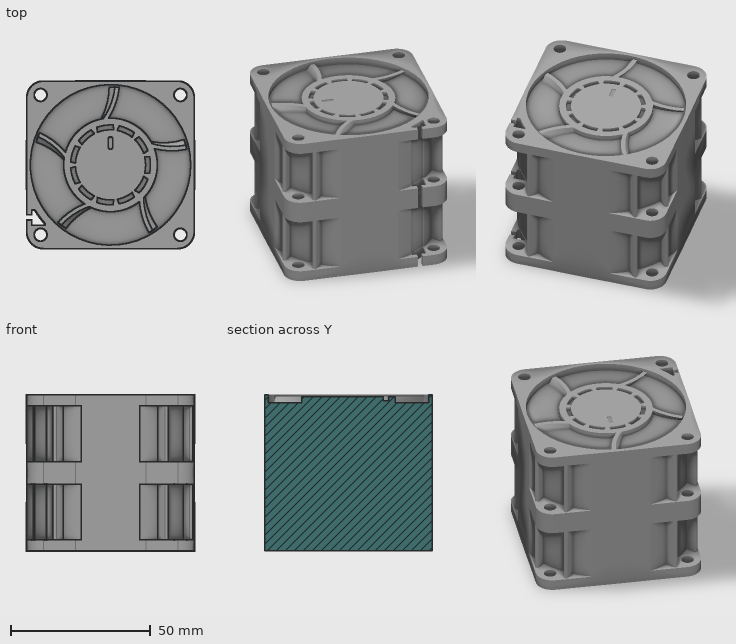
import cadquery as cq
import math

frame_size = 60.0
bulged_size = 60.18
crown_half_width = 12.6
corner_radius = 6.0
flange_thickness = 4.0
window_height = 20.0
fan_height = window_height + 2 * flange_thickness
fan_count = 2
height = fan_count * fan_height
housing_radius = 31.8

hole_diameter = 4.5
hole_offset = 25.0

rib_thickness = 1.56
rib_offset = 6.26
rib_reach = 35.13
rib_tip_fillet = 0.76
rib_root = 30.0

notch_x = -28.1
notch_x_end = -23.5
notch_radius = 31.6
notch_y_min = -21.5
notch_y_max = -16.2
slot_y_min = -19.7
slot_y_max = -17.9

relief_radius = 31.4
relief_y_min = -22.0
relief_y_max = -15.9
relief_x_max = -22.8
bottom_groove_height = 0.5
middle_groove_height = 2.4

recess_radius = 28.7
recess_depth = 2.8
hub_radius = 16.75
hub_height = 2.2
floor_z = height - recess_depth
hub_top_z = floor_z + hub_height

strut_count = 5
strut_width = 1.55
strut_arc_radius = 25.0
strut_arc_center = (-22.5, 30.4)
strut_outer_angle = -6.0
strut_inner_angle = -36.0
strut_twist = -5.6
strut_twist_pivot = (1.5, 6.5)

vent_count = 11
vent_outer_radius = 14.3
vent_inner_radius = 12.55
vent_length = 5.9
vent_depth = 1.6
mark_width = 1.5
mark_length = 4.5
mark_center_y = 7.8
mark_depth = 0.3


def block(x_min, x_max, y_min, y_max, z_min, z_max):
    size = (x_max - x_min, y_max - y_min, z_max - z_min)
    return cq.Workplane("XY").box(*size, centered=False).translate((x_min, y_min, z_min))


def cylinder(radius, z_min, z_max):
    return cq.Workplane("XY").workplane(offset=z_min).circle(radius).extrude(z_max - z_min)


def ring(outer_radius, inner_radius, z_min, z_max):
    return cylinder(outer_radius, z_min, z_max).cut(cylinder(inner_radius, z_min, z_max))


def turned(x, y, angle):
    a = math.radians(angle)
    return (x * math.cos(a) - y * math.sin(a), x * math.sin(a) + y * math.cos(a))


def frame_prism():
    """Rounded square with a slight crown in the middle of each side."""
    half = frame_size / 2
    straight = half - corner_radius
    corner_mid = straight + corner_radius * math.sqrt(0.5)
    outline = cq.Workplane("XY").moveTo(half, -straight)
    for angle in (0, 90, 180, 270):
        outline = (
            outline.lineTo(*turned(half, -crown_half_width, angle))
            .threePointArc(turned(bulged_size / 2, 0, angle), turned(half, crown_half_width, angle))
            .lineTo(*turned(half, straight, angle))
            .threePointArc(turned(corner_mid, corner_mid, angle), turned(straight, half, angle))
        )
    return outline.close().extrude(height)


def window_bottoms():
    return [i * fan_height + flange_thickness for i in range(fan_count)]


def cut_windows(body):
    """Between the flanges only the round housing remains at the corners."""
    for z in window_bottoms():
        body = body.cut(ring(frame_size, housing_radius, z, z + window_height))
    return body


def corner_rib(angle, side, z):
    """Rib with a rounded tip beside the corner diagonal that lies at the given angle."""
    length = rib_reach - rib_root
    rib = (
        cq.Workplane("XY")
        .rect(length, rib_thickness)
        .extrude(window_height)
        .edges("|Z and >X")
        .fillet(rib_tip_fillet)
        .translate((rib_root + length / 2, side * rib_offset, z))
    )
    return rib.rotate((0, 0, 0), (0, 0, 1), angle)


def add_ribs(body):
    """Two ribs per corner; the cable corner leaves out the one beside the slot."""
    cable_corner = 225
    for z in window_bottoms():
        for angle in (45, 135, cable_corner, 315):
            for side in (-1, 1):
                if angle == cable_corner and side == -1:
                    continue
                body = body.union(corner_rib(angle, side, z))
    return body


def cut_mounting_holes(body):
    corners = [(x, y) for x in (-hole_offset, hole_offset) for y in (-hole_offset, hole_offset)]
    holes = cq.Workplane("XY").pushPoints(corners).circle(hole_diameter / 2).extrude(height)
    return body.cut(holes)


def cut_cable_notch(body):
    """Notch with a round inner wall, opened to the -X side by a narrow slot."""
    area = block(notch_x, notch_x_end, notch_y_min, notch_y_max, 0, height)
    slot = block(-bulged_size / 2, notch_x, slot_y_min, slot_y_max, 0, height)
    body = body.cut(area.cut(cylinder(notch_radius, 0, height))).cut(slot)
    middle = height / 2
    grooves = [
        (0, bottom_groove_height),
        (middle - middle_groove_height / 2, middle + middle_groove_height / 2),
    ]
    for z_min, z_max in grooves:
        body = body.cut(ring(notch_radius, relief_radius, z_min, z_max).intersect(area))
    return body


def cut_relief(body):
    """Relief in the exposed housing wall between the flanges of each fan."""
    for z in window_bottoms():
        top = z + window_height
        area = block(notch_x, relief_x_max, relief_y_min, relief_y_max, z, top)
        body = body.cut(ring(housing_radius, relief_radius, z, top).intersect(area))
    return body


def strut_point(radius, angle):
    """Point on the strut outline, relative to the twist pivot."""
    a = math.radians(angle)
    return (
        strut_arc_center[0] - strut_twist_pivot[0] + radius * math.cos(a),
        strut_arc_center[1] - strut_twist_pivot[1] + radius * math.sin(a),
    )


def strut():
    """Curved strut that leans over by twisting about its pivot as it rises."""
    pivot_x, pivot_y = strut_twist_pivot
    left = strut_arc_radius - strut_width / 2
    right = strut_arc_radius + strut_width / 2
    middle_angle = (strut_outer_angle + strut_inner_angle) / 2
    return (
        cq.Workplane("XY")
        .moveTo(*strut_point(left, strut_outer_angle))
        .threePointArc(strut_point(left, middle_angle), strut_point(left, strut_inner_angle))
        .lineTo(*strut_point(right, strut_inner_angle))
        .threePointArc(strut_point(right, middle_angle), strut_point(right, strut_outer_angle))
        .close()
        .twistExtrude(hub_height, strut_twist)
        .rotate((0, 0, 0), (0, 0, 1), -strut_twist)
        .translate((pivot_x, pivot_y, floor_z))
    )


def add_fan_face(body):
    """Round recess in the top with the hub and its struts standing on the floor."""
    body = body.cut(cylinder(recess_radius, floor_z, height))
    body = body.union(cylinder(hub_radius, floor_z, hub_top_z))
    first = strut()
    for i in range(strut_count):
        body = body.union(first.rotate((0, 0, 0), (0, 0, 1), i * 360 / strut_count))
    return body


def cut_hub_details(body):
    """Ring of parallel-ended vents and a small index mark in the hub top."""
    vent_z = hub_top_z - vent_depth
    vent_area = block(0, vent_outer_radius, -vent_length / 2, vent_length / 2, vent_z, hub_top_z)
    vent = ring(vent_outer_radius, vent_inner_radius, vent_z, hub_top_z).intersect(vent_area)
    for i in range(vent_count):
        body = body.cut(vent.rotate((0, 0, 0), (0, 0, 1), i * 360 / vent_count))
    mark = (
        cq.Workplane("XY")
        .workplane(offset=hub_top_z - mark_depth)
        .center(0, mark_center_y)
        .slot2D(mark_length, mark_width, 90)
        .extrude(mark_depth)
    )
    return body.cut(mark)


body = cut_windows(frame_prism())
body = add_ribs(body)
body = cut_mounting_holes(body)
body = cut_cable_notch(body)
body = cut_relief(body)
body = add_fan_face(body)
result = cut_hub_details(body)